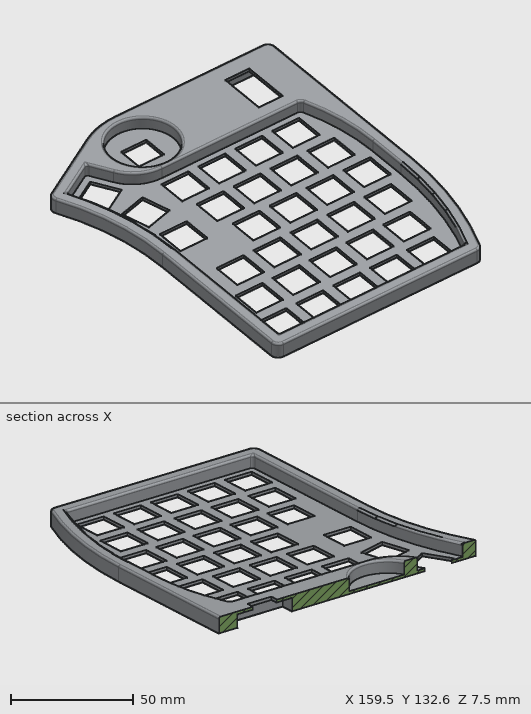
import cadquery as cq
import math


case_length = 159.47
case_back = 119.23
case_height = 7.5
corner_radius = 3.5
edge_radius = 1.0
back_arc_start_x = 95.8
back_arc_radius = 157.7
front_arc_start_x = 82.95
side_bend_y = 39.2
side_bend_radius = 36.0
thumb_angle = 30.0
thumb_side_length = 41.29

plate_thickness = 1.5
rim_width = 5.9
pocket_left_x = 38.2
pocket_flat_start_x = 76.8
pocket_left_corner_y = 105.7
thumb_wall_distance = 10.2
knob_bend_radius = 20.0
bay_corner_radius = 2.2
rim_corner_radius = 1.3

switch_size = 13.9
key_pitch = 19.05
first_column_x = 48.2
key_columns = [
    (95.8, 4),
    (99.3, 4),
    (103.2, 4),
    (99.3, 5),
    (94.4, 5),
    (92.0, 5),
]
outer_thumb_key = (31.6, 7.1, thumb_angle)
thumb_keys = [
    (73.6, 18.2, 0.0),
    (51.8, 15.45, thumb_angle / 2),
    outer_thumb_key,
]

bay_center_x = 20.42
knob_y = 38.0
knob_well_diameter = 32.0
knob_hole_length = 12.0
knob_hole_width = 13.0
display_y = 95.55
display_length = 22.5
display_width = 12.3
display_recess_size = 28.0
display_roof = plate_thickness

thumb_radians = math.radians(thumb_angle)
thumb_cos = math.cos(thumb_radians)
thumb_sin = math.sin(thumb_radians)


def back_arc_y(x, inset):
    """Y of the back arc, moved inwards by an inset, at a given X."""
    radius = back_arc_radius - inset
    center_y = case_back - back_arc_radius
    return center_y + math.sqrt(radius**2 - (x - back_arc_start_x) ** 2)


def make_case_profile():
    """Case outline with sharp corners."""
    bend_end = (side_bend_radius * (1 - thumb_cos), side_bend_y - side_bend_radius * thumb_sin)
    thumb_tip = (bend_end[0] + thumb_side_length * thumb_sin, bend_end[1] - thumb_side_length * thumb_cos)
    return (
        cq.Workplane("XY")
        .moveTo(case_length, 0)
        .lineTo(front_arc_start_x, 0)
        .tangentArcPoint(thumb_tip, relative=False)
        .lineTo(*bend_end)
        .radiusArc((0, side_bend_y), side_bend_radius)
        .lineTo(0, case_back)
        .lineTo(back_arc_start_x, case_back)
        .tangentArcPoint((case_length, back_arc_y(case_length, 0)), relative=False)
        .close()
    )


def corner_edge(body, corner):
    """Upright edge of a body nearest to an XY point."""
    nearest = cq.selectors.NearestToPointSelector((*corner, case_height / 2))
    return body.edges("|Z").edges(nearest)


def make_case_body():
    """Solid case with its four sharp corners rounded and its top edge rounded."""
    body = make_case_profile().extrude(case_height)
    for corner in [(0, case_back), (case_length, case_back), (case_length, 0), (0, -case_back)]:
        body = corner_edge(body, corner).fillet(corner_radius)
    return body.faces(">Z").edges().fillet(edge_radius)


def make_key_side():
    """Region on the key side of the bay, running past the case in front."""
    key_x, key_y, _ = outer_thumb_key
    wall_x = key_x - thumb_wall_distance * thumb_sin
    wall_y = key_y + thumb_wall_distance * thumb_cos
    wall_slope = thumb_sin / thumb_cos
    bend_corner_y = wall_y + (pocket_left_x - wall_x) * wall_slope
    bend_setback = knob_bend_radius * math.tan((math.pi / 2 - thumb_radians) / 2)
    bend_end = (pocket_left_x - bend_setback * thumb_cos, bend_corner_y - bend_setback * thumb_sin)
    pocket_back = case_back - rim_width
    return (
        cq.Workplane("XY")
        .moveTo(case_length, pocket_back)
        .lineTo(pocket_flat_start_x, pocket_back)
        .tangentArcPoint((pocket_left_x, pocket_left_corner_y), relative=False)
        .lineTo(pocket_left_x, bend_corner_y + bend_setback)
        .radiusArc(bend_end, knob_bend_radius)
        .lineTo(0, wall_y - wall_x * wall_slope)
        .lineTo(0, -case_back)
        .lineTo(case_length, -case_back)
        .close()
        .extrude(case_height)
    )


def find_rim_corners():
    """Places of the four pocket corners along the rim; the thumb corners are approximate."""
    right_x = case_length - rim_width
    key_x, key_y, _ = outer_thumb_key
    corners = [(right_x, rim_width), (right_x, back_arc_y(right_x, rim_width))]
    for side in (-thumb_wall_distance, thumb_wall_distance):
        corner_x = key_x - thumb_wall_distance * thumb_cos - side * thumb_sin
        corner_y = key_y - thumb_wall_distance * thumb_sin + side * thumb_cos
        corners.append((corner_x, corner_y))
    return corners


def cut_pocket(body):
    """Sink the key pocket down to the switch plate and round its edges."""
    inset_case = make_case_profile().offset2D(-rim_width).extrude(case_height)
    pocket = inset_case.intersect(make_key_side())
    pocket = corner_edge(pocket, (pocket_left_x, pocket_left_corner_y)).fillet(bay_corner_radius)
    body = body.cut(pocket.translate((0, 0, plate_thickness)))
    mouth = body.faces(">Z").val().innerWires()[0]
    body = body.newObject(mouth.Edges()).fillet(edge_radius)
    for corner in find_rim_corners():
        body = corner_edge(body, corner).fillet(rim_corner_radius)
    return body


def cut_knob_well(body):
    """Sink the round knob well with its mouth rounded outwards."""
    wall = knob_well_diameter / 2
    mouth_bottom = case_height - edge_radius
    arc_inset = edge_radius * (1 - math.sqrt(0.5))
    well = (
        cq.Workplane("XZ")
        .moveTo(0, plate_thickness)
        .lineTo(wall, plate_thickness)
        .lineTo(wall, mouth_bottom)
        .threePointArc((wall + arc_inset, case_height - arc_inset), (wall + edge_radius, case_height))
        .lineTo(0, case_height)
        .close()
        .revolve(360, (0, 0, 0), (0, 1, 0))
        .translate((bay_center_x, knob_y, 0))
    )
    return body.cut(well)


def cut_display_recess(body):
    """Hollow the underside around the display window, leaving a thin roof."""
    recess = (
        cq.Workplane("XY")
        .center(bay_center_x, display_y)
        .rect(display_recess_size, display_recess_size)
        .extrude(case_height - display_roof)
    )
    return body.cut(recess)


def make_opening(center_x, center_y, length, width, rotation=0.0):
    """Rectangular through opening."""
    opening = cq.Workplane("XY").rect(length, width).extrude(case_height)
    return opening.rotate((0, 0, 0), (0, 0, 1), rotation).translate((center_x, center_y, 0))


def cut_openings(body):
    """Cut the switch, knob and display openings."""
    for column, (rear_key_y, key_count) in enumerate(key_columns):
        column_x = first_column_x + column * key_pitch
        for row in range(key_count):
            body = body.cut(make_opening(column_x, rear_key_y - row * key_pitch, switch_size, switch_size))
    for key_x, key_y, rotation in thumb_keys:
        body = body.cut(make_opening(key_x, key_y, switch_size, switch_size, rotation))
    body = body.cut(make_opening(bay_center_x, knob_y, knob_hole_length, knob_hole_width))
    return body.cut(make_opening(bay_center_x, display_y, display_length, display_width))


case = make_case_body()
case = cut_pocket(case)
case = cut_knob_well(case)
case = cut_display_recess(case)
result = cut_openings(case).solids()